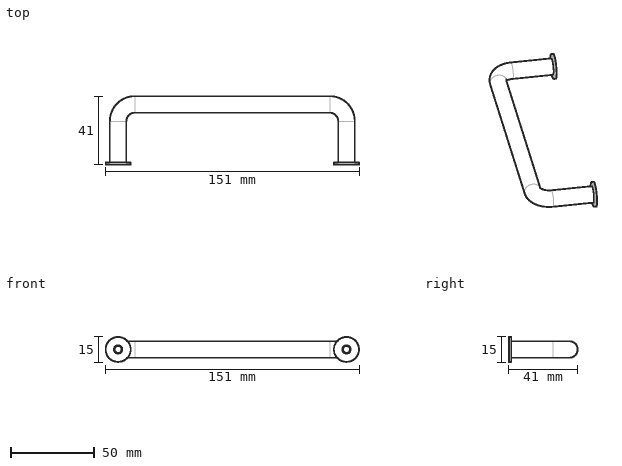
import cadquery as cq
import math

hole_spacing = 136.0
rod_diameter = 10.0
bend_radius = 10.0
overall_depth = 41.0

flange_diameter = 15.0
flange_thickness = 1.5
flange_edge_fillet = 0.5

clearance_diameter = 5.0
clearance_depth = 1.0
tap_diameter = 4.13
lead_in_half_angle = 45.0
tap_end_depth = 12.0
drill_point_angle = 118.0

half_spacing = hole_spacing / 2
bar_axis_y = overall_depth - rod_diameter / 2
bend_start_y = bar_axis_y - bend_radius
bend_end_x = half_spacing - bend_radius
bend_mid_offset = bend_radius / math.sqrt(2)


def make_bar():
    """Round rod swept along a U-shaped centre line in the XY plane."""
    path = (
        cq.Workplane("XY")
        .moveTo(-half_spacing, 0)
        .lineTo(-half_spacing, bend_start_y)
        .threePointArc(
            (-bend_end_x - bend_mid_offset, bend_start_y + bend_mid_offset),
            (-bend_end_x, bar_axis_y),
        )
        .lineTo(bend_end_x, bar_axis_y)
        .threePointArc(
            (bend_end_x + bend_mid_offset, bend_start_y + bend_mid_offset),
            (half_spacing, bend_start_y),
        )
        .lineTo(half_spacing, 0)
    )
    section = cq.Workplane("XZ", origin=(-half_spacing, 0, 0)).circle(rod_diameter / 2)
    return section.sweep(path)


def make_flange(center_x):
    """Disc around the foot of one leg, rounded on the edge away from the mounting face."""
    foot = cq.Workplane("XZ", origin=(center_x, 0, 0))
    disc = foot.circle(flange_diameter / 2).extrude(-flange_thickness)
    return disc.faces(">Y").edges().fillet(flange_edge_fillet)


def make_hole(center_x):
    """Clearance bore at the mounting face, then a conical lead-in and a tap bore with a drill point."""
    clearance_radius = clearance_diameter / 2
    tap_radius = tap_diameter / 2
    lead_in_length = (clearance_radius - tap_radius) / math.tan(math.radians(lead_in_half_angle))
    tap_start_depth = clearance_depth + lead_in_length
    point_length = tap_radius / math.tan(math.radians(drill_point_angle / 2))
    profile = (
        cq.Workplane("XY", origin=(center_x, 0, 0))
        .moveTo(0, 0)
        .lineTo(clearance_radius, 0)
        .lineTo(clearance_radius, clearance_depth)
        .lineTo(tap_radius, tap_start_depth)
        .lineTo(tap_radius, tap_end_depth)
        .lineTo(0, tap_end_depth + point_length)
        .close()
    )
    return profile.revolve(360, (0, 0, 0), (0, 1, 0))


result = make_bar()
for foot_x in (-half_spacing, half_spacing):
    result = result.union(make_flange(foot_x))
    result = result.cut(make_hole(foot_x))